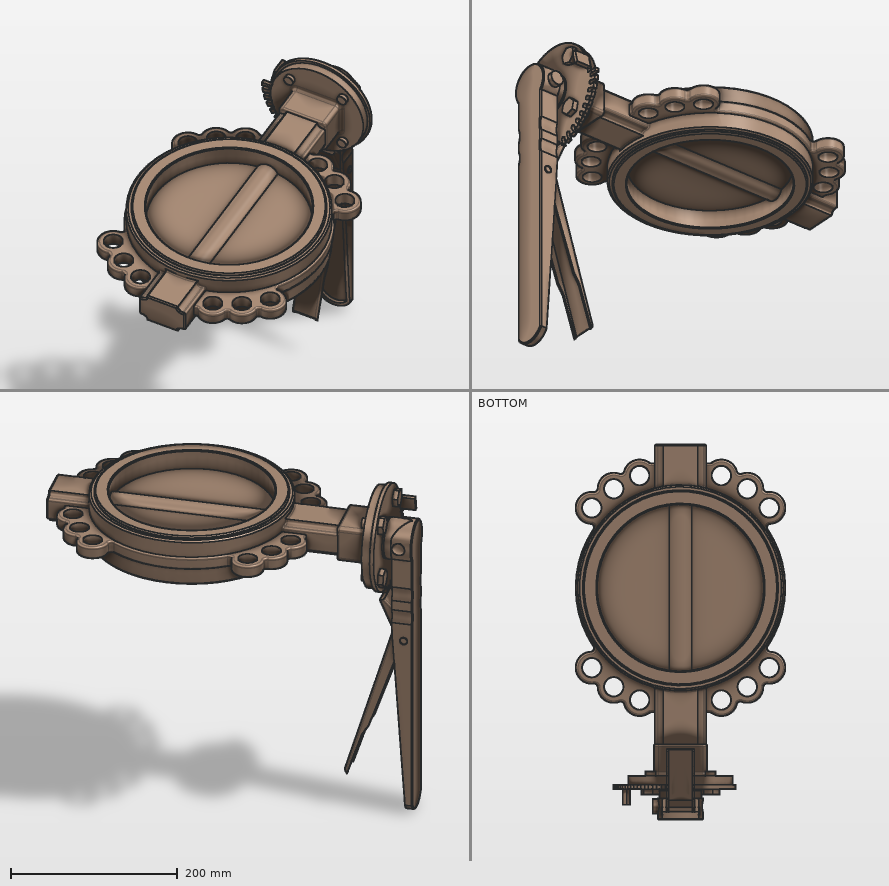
import cadquery as cq
import math


box_margin = 0.5

ring_diameter = 247.0
ring_width = 60.0
ring_chamfer = 2.3
liner_diameter = 235.0
liner_width = 65.5
liner_chamfer = 2.0
bore_diameter = 200.0
mouth_chamfer = 1.5
disc_thickness = 15.5
shaft_diameter = 31.5

rib_diameter = 252.0
rib_thickness = 16.2
rib_fillet = 2.5
lug_circle_radius = 143.5
lug_radius = 19.5
lug_hole_diameter = 23.0
lug_angles = (20, 34, 48)
lug_valley_fillet = 4.0
lug_web_half_width = 49.5
lug_web_end = 149.5

neck_bottom = -172.0
neck_half_width = 31.0
neck_half_height = 20.5
neck_flat_half_width = 20.7
cove_radius = 6.5
neck_edge_radius = 2.5
neck_end_chamfer = 2.0
neck_root_fillet = 2.0
block_start = 187.5
block_width = 64.0
block_height = 46.0
block_edge_fillet = 5.5
block_end_fillet = 2.5

flange_start = 226.0
flange_thickness = 11.0
flange_diameter = 126.0
foot_fillet = 5.0
plate_start = flange_start + flange_thickness
plate_thickness = 5.0
plate_end = plate_start + plate_thickness
plate_radius = 66.3
bolt_diameter = 12.0
bolt_offset = 36.0
bolt_tip = 220.5
bolt_head_diameter = 23.0
bolt_head_height = 6.8
bolt_head_turn = 16

sector_radius = 80.5
sector_end_angle = 90
sector_corner_fillet = 3.5
tooth_pitch_angle = 7.8
first_notch_angle = 7.0
notch_count = 11
notch_width = 5.0
notch_root_radius = 71.0
tab_angle = 77
tab_radius = 66.5
tab_length = 18.0
tab_thickness = 5.0
tab_bend_radius = 4.5
tab_end = 260.5

handle_back = 278.5
handle_front = 253.0
handle_half_width = 21.5
hub_diameter = 54.5
collar_diameter = 51.0
collar_foot_diameter = 50.0
collar_foot_height = 2.3
hub_notch_peak = 272.8
hub_notch_half_width = 24.5
back_edge_chamfer = 1.5
handle_side_end = -350.7
handle_end_radius = 50.0 / 2
handle_taper_start = -112.5
handle_end_front = 269.0
handle_wall = 4.5
cavity_top = -36.0
scallop_depth = 2.0
scallops = ((-54.5, -73.0), (-85.5, -103.2))
screw_y = 262.5
screw_diameter = 18.0
screw_reach = 33.5
screw_hole_diameter = 16.0

lever_width = 33.0
lever_sheet = 2.5
lever_edge_fillet = 2.3
lever_top = (236.2, -78.0)
lever_bend = (253.0, -116.5)
lever_tip = (193.0, -314.2)
lever_back_outline = [
    (196.0, -320.0), (214.0, -265.0), (222.5, -251.5), (256.0, -155.0),
    (273.0, -130.7), (273.0, -121.5), (251.5, -85.0), (242.0, -75.7),
]
lever_lip_inside = [(249.8, -87.5), (240.0, -79.5)]
pivot_y = 268.0
pivot_z = -126.2
pivot_diameter = 9.0
pivot_length = 46.0


def cylinder_y(diameter, start, end, x=0.0, z=0.0):
    """Cylinder along Y between two heights."""
    plane = cq.Workplane("XZ", origin=(x, start, z))
    return plane.circle(diameter / 2).extrude(start - end)


def cylinder_x(diameter, start, end, y, z):
    """Cylinder along X between two positions."""
    return cq.Workplane("YZ", origin=(start, y, z)).circle(diameter / 2).extrude(end - start)


def prism_x(points, width):
    """Prism of a (y, z) outline, centred on X = 0."""
    return cq.Workplane("YZ").polyline(points).close().extrude(width / 2, both=True)


def edges_within(low, high):
    """Selector of the edges that lie wholly inside a slightly widened box."""
    return cq.selectors.BoxSelector(
        tuple(value - box_margin for value in low),
        tuple(value + box_margin for value in high),
        boundingbox=True,
    )


def on_circle(radius, angle):
    """Point at an angle (degrees) measured from the second axis toward the first."""
    turn = math.radians(angle)
    return (radius * math.sin(turn), radius * math.cos(turn))


def disc_z(diameter, height):
    """Disc centred on the origin with its axis along Z."""
    return cq.Workplane("XY").circle(diameter / 2).extrude(height / 2, both=True)


def lug_group():
    """Scalloped plate with the lugs on the +Y side of the ring."""
    centres = [on_circle(lug_circle_radius, side * a) for side in (-1, 1) for a in lug_angles]
    outline = [(0, 0)] + sorted(centres)
    plate = cq.Workplane("XY").polyline(outline).close().extrude(rib_thickness / 2, both=True)
    web = cq.Workplane("XY").box(
        2 * lug_web_half_width, lug_web_end, rib_thickness, centered=(True, False, True)
    )
    plate = plate.union(web)
    for x, y in centres:
        plate = plate.union(disc_z(2 * lug_radius, rib_thickness).translate((x, y, 0)))
    return plate


def lug_rib():
    """Rib around the ring with two groups of lugs."""
    upper = lug_group()
    rib = disc_z(rib_diameter, rib_thickness).union(upper).union(upper.mirror("XZ"))
    rib = rib.clean().edges("|Z").fillet(lug_valley_fillet)
    rib = rib.faces("|Z").edges().fillet(rib_fillet)
    for side in (-1, 1):
        for angle in lug_angles:
            for end in (0, 180):
                x, y = on_circle(lug_circle_radius, side * angle + end)
                rib = rib.cut(disc_z(lug_hole_diameter, rib_thickness).translate((x, y, 0)))
    return rib


def neck():
    """Bar along Y whose four corners carry a cove above a rounded edge."""
    ledge = neck_half_height - cove_radius
    cove_end = neck_flat_half_width + cove_radius
    bend = math.sqrt(0.5)
    cove_mid = (cove_end - cove_radius * bend, neck_half_height - cove_radius * bend)
    edge_start = (neck_half_width - neck_edge_radius, ledge)
    edge_end = (neck_half_width, ledge - neck_edge_radius)
    edge_mid = (edge_start[0] + neck_edge_radius * bend, edge_end[1] + neck_edge_radius * bend)
    quarter = (
        cq.Workplane("XZ", origin=(0, neck_bottom, 0))
        .lineTo(0, neck_half_height)
        .lineTo(neck_flat_half_width, neck_half_height)
        .threePointArc(cove_mid, (cove_end, ledge))
        .lineTo(*edge_start)
        .threePointArc(edge_mid, edge_end)
        .lineTo(neck_half_width, 0)
        .close()
        .extrude(neck_bottom - flange_start)
    )
    half = quarter.union(quarter.mirror("YZ"))
    bar = half.union(half.mirror("XY")).clean()
    return bar.faces("<Y").chamfer(neck_end_chamfer)


def top_flange():
    """Block under the round flange, with a filleted foot."""
    block = (
        cq.Workplane("XZ", origin=(0, block_start, 0))
        .rect(block_width, block_height)
        .extrude(block_start - flange_start)
        .edges("|Y").fillet(block_edge_fillet)
        .faces("<Y").edges().fillet(block_end_fillet)
    )
    flange = block.union(cylinder_y(flange_diameter, flange_start, plate_start))
    corner = (block_width / 2, block_height / 2)
    foot = edges_within(
        (-corner[0], flange_start, -corner[1]), (corner[0], flange_start, corner[1])
    )
    return flange.edges(foot).fillet(foot_fillet)


def round_neck_roots(body):
    """Fillet the edges where the neck leaves the rim of the ring."""
    outer = ring_diameter / 2
    inner = math.sqrt(outer ** 2 - neck_half_width ** 2)
    for near, far in ((inner, outer), (-outer, -inner)):
        root = edges_within(
            (-neck_half_width, near, -neck_half_height), (neck_half_width, far, neck_half_height)
        )
        body = body.edges(root).fillet(neck_root_fillet)
    return body


def make_body():
    ring = disc_z(ring_diameter, ring_width).faces("|Z").edges().chamfer(ring_chamfer)
    body = round_neck_roots(ring.union(neck()).clean())
    body = body.union(lug_rib()).union(top_flange())
    body = body.cut(disc_z(liner_diameter, ring_width))
    return body.cut(bolt_holes())


def bolt_positions():
    return [(sx * bolt_offset, sz * bolt_offset) for sx in (-1, 1) for sz in (-1, 1)]


def bolt_holes():
    holes = cq.Workplane("XY")
    for x, z in bolt_positions():
        holes = holes.union(cylinder_y(bolt_diameter, bolt_tip, plate_end, x, z))
    return holes


def make_bolt(x, z):
    """Hexagon bolt through plate and flange; its head lies on the plate."""
    turn = math.copysign(bolt_head_turn, z)
    head = (
        cq.Workplane("XZ")
        .polygon(6, bolt_head_diameter)
        .extrude(-bolt_head_height)
        .rotate((0, 0, 0), (0, 1, 0), -turn)
        .translate((x, plate_end, z))
    )
    return head.union(cylinder_y(bolt_diameter, bolt_tip, plate_end, x, z))


def make_liner():
    liner = disc_z(liner_diameter, liner_width).faces("|Z").edges().chamfer(liner_chamfer)
    liner = liner.cut(disc_z(bore_diameter, liner_width))
    radius = bore_diameter / 2
    mouths = edges_within((-radius, -radius, -liner_width), (radius, radius, liner_width))
    return liner.faces("|Z").edges(mouths).chamfer(mouth_chamfer)


def make_disc():
    disc = disc_z(bore_diameter, disc_thickness)
    shaft = cylinder_y(shaft_diameter, -bore_diameter / 2, bore_diameter / 2)
    return disc.union(shaft.intersect(disc_z(bore_diameter, shaft_diameter)))


def toothed_sector():
    """Quarter sector with U-shaped notches around its rim."""
    sector = (
        cq.Workplane("XZ", origin=(0, plate_start, 0))
        .lineTo(-sector_radius, 0)
        .threePointArc(
            on_circle(sector_radius, 180 + sector_end_angle / 2),
            (0, -sector_radius),
        )
        .close()
        .extrude(-plate_thickness)
    )
    notch_depth = sector_radius - notch_root_radius
    slot = (
        cq.Workplane("XZ", origin=(0, plate_start, -sector_radius))
        .slot2D(2 * notch_depth, notch_width, 90)
        .extrude(-plate_thickness)
    )
    for i in range(notch_count):
        angle = first_notch_angle + i * tooth_pitch_angle
        sector = sector.cut(slot.rotate((0, 0, 0), (0, 1, 0), angle))
    return sector


def lever_clearance():
    """Gap in the teeth that the end of the lever fills."""
    lever_end = max(z for _, z in lever_back_outline)
    gap = [
        (plate_start, lever_end), (plate_end, lever_end),
        (plate_end, -sector_radius), (plate_start, -sector_radius),
    ]
    return prism_x(gap, lever_width)


def make_plate():
    """Round plate with the toothed sector, the stop tab and room for the lever."""
    plate = cylinder_y(2 * plate_radius, plate_start, plate_end).union(toothed_sector())
    mid_plate = (plate_start + plate_end) / 2
    inner_corner = cq.selectors.NearestToPointSelector((0, mid_plate, -plate_radius))
    plate = plate.edges("|Y").edges(inner_corner).fillet(sector_corner_fillet)
    tab = (
        cq.Workplane("XY")
        .box(tab_length, tab_end - plate_start, tab_thickness, centered=(True, False, True))
        .faces(">Z").edges("<Y").fillet(tab_bend_radius)
        .translate((0, plate_start, tab_radius))
        .rotate((0, 0, 0), (0, 1, 0), -tab_angle)
    )
    return plate.union(tab).cut(bolt_holes()).cut(lever_clearance())


def pivot():
    """Pin of the lever, which turns in both side walls of the handle."""
    half_length = pivot_length / 2
    return cylinder_x(pivot_diameter, -half_length, half_length, pivot_y, pivot_z)


def scallop(upper, lower):
    """Shallow cylinder that dips into the +X side between two heights."""
    half_chord = (upper - lower) / 2
    radius = (half_chord ** 2 + scallop_depth ** 2) / (2 * scallop_depth)
    centre_x = handle_half_width - scallop_depth + radius
    return cylinder_y(2 * radius, handle_front, handle_back, centre_x, (upper + lower) / 2)


def handle_outline(inset):
    """Straight bar with a round lower end, set in from the outer sides, along Y."""
    half_width = handle_half_width - inset
    end_rise = math.sqrt(handle_end_radius ** 2 - handle_half_width ** 2)
    end_radius = handle_end_radius - inset
    centre_z = handle_side_end + end_rise
    side_end = centre_z - math.sqrt(end_radius ** 2 - half_width ** 2)
    top = cavity_top if inset else 0
    return (
        cq.Workplane("XZ", origin=(0, handle_front, 0))
        .moveTo(-half_width, top)
        .lineTo(half_width, top)
        .lineTo(half_width, side_end)
        .threePointArc((0, centre_z - end_radius), (-half_width, side_end))
        .close()
    )


def handle_bar():
    """Tapering channel, open toward -Y, with finger scallops on both sides."""
    bar = handle_outline(0).extrude(handle_front - handle_back)
    bar = bar.union(cylinder_y(hub_diameter, handle_front, handle_back))
    for upper, lower in scallops:
        dip = scallop(upper, lower)
        bar = bar.cut(dip).cut(dip.mirror("YZ"))
    bar = bar.faces(">Y").chamfer(back_edge_chamfer)
    end = handle_side_end - handle_end_radius
    taper = [
        (handle_front, handle_taper_start), (handle_end_front, handle_side_end),
        (handle_end_front, end), (handle_front, end),
    ]
    bar = bar.cut(prism_x(taper, hub_diameter))
    cavity_depth = handle_back - handle_wall - handle_front
    return bar.cut(handle_outline(handle_wall).extrude(-cavity_depth))


def make_handle():
    handle = handle_bar()
    notch = (
        cq.Workplane("XY")
        .polyline([
            (-hub_notch_half_width, handle_front), (0, hub_notch_peak),
            (hub_notch_half_width, handle_front),
        ])
        .close()
        .extrude(hub_diameter)
    )
    handle = handle.cut(notch)
    foot_end = plate_end + collar_foot_height
    handle = handle.union(cylinder_y(collar_foot_diameter, plate_end, foot_end))
    handle = handle.union(cylinder_y(collar_diameter, foot_end, handle_front))
    handle = handle.union(notch.intersect(cylinder_y(collar_diameter, handle_front, hub_notch_peak)))
    handle = handle.union(cylinder_x(screw_diameter, -screw_reach, 0, screw_y, 0))
    handle = handle.cut(cylinder_x(screw_hole_diameter, 0, hub_diameter, screw_y, 0))
    return handle.cut(pivot())


def sheet_offset(start, end):
    """Vector across the sheet from the outer face of a (start, end) segment."""
    dy = end[0] - start[0]
    dz = end[1] - start[1]
    scale = lever_sheet / math.hypot(dy, dz)
    return (-dz * scale, dy * scale)


def along(start, end, share):
    """Point at a share of the way from start to end."""
    return tuple(a + share * (b - a) for a, b in zip(start, end))


def shifted(point, offset):
    """Point moved by an offset."""
    return (point[0] + offset[0], point[1] + offset[1])


def make_lever():
    """Bent channel, open toward +Y, with its pivot."""
    front = [lever_top, lever_bend, lever_tip]
    lever = prism_x(front + lever_back_outline, lever_width)
    lip = lever_back_outline[-2:]
    for start, end in ((lever_top, lever_bend), (lever_bend, lever_tip), lip):
        y, z = along(start, end, 0.5)
        for x in (-lever_width / 2, lever_width / 2):
            lever = lever.edges(cq.selectors.NearestToPointSelector((x, y, z))).fillet(lever_edge_fillet)
    upper = sheet_offset(lever_top, lever_bend)
    lower = sheet_offset(lever_bend, lever_tip)
    bend = shifted(lever_bend, along(upper, lower, 0.5))
    hollow = [
        bend, shifted(along(lever_bend, lever_tip, 2), lower),
        (handle_back, lever_tip[1]), (handle_back, lever_lip_inside[0][1]),
    ] + lever_lip_inside
    lever = lever.cut(prism_x(hollow, lever_width - 2 * lever_sheet))
    return lever.union(pivot())


body = make_body()
liner = make_liner()
disc = make_disc()
lever = make_lever()
plate = make_plate()
handle = make_handle()
bolts = [make_bolt(x, z).val() for x, z in bolt_positions()]

result = cq.Compound.makeCompound([
    body.val(), liner.val(), disc.val(), plate.val(), handle.val(), lever.val(), *bolts,
])